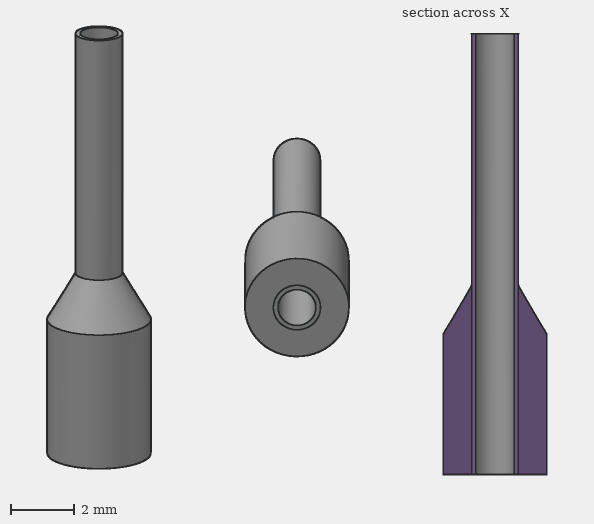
import cadquery as cq

total_height = 14.0
collar_diameter = 3.3
collar_straight_height = 4.47
collar_taper_height = 1.54
tube_outer_diameter = 1.5
tube_bore_diameter = 1.2

collar_height = collar_straight_height + collar_taper_height
collar_radius = collar_diameter / 2
tube_outer_radius = tube_outer_diameter / 2
tube_bore_radius = tube_bore_diameter / 2


def make_tube():
    """Straight thin-walled tube running the whole height."""
    return (
        cq.Workplane("XY")
        .circle(tube_outer_radius)
        .circle(tube_bore_radius)
        .extrude(total_height)
    )


def make_collar():
    """Sleeve around the lower tube, tapering to the tube's outer surface at its top."""
    return (
        cq.Workplane("XZ")
        .moveTo(tube_outer_radius, 0)
        .lineTo(collar_radius, 0)
        .lineTo(collar_radius, collar_straight_height)
        .lineTo(tube_outer_radius, collar_height)
        .close()
        .revolve(360, (0, 0, 0), (0, 1, 0))
    )


tube = make_tube()
collar = make_collar()

result = cq.Compound.makeCompound([tube.val(), collar.val()])